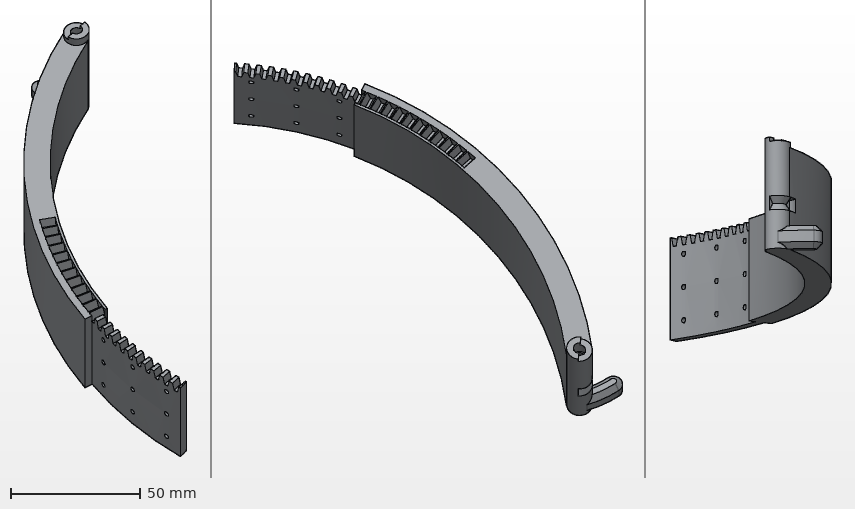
import cadquery as cq
import math

ARC_CENTER = (160.5, 137.6)
BAND_INNER_RADIUS = 139.6
BAND_THICKNESS = 10.3
BAND_OUTER_RADIUS = BAND_INNER_RADIUS + BAND_THICKNESS
BAND_MID_RADIUS = BAND_INNER_RADIUS + BAND_THICKNESS / 2
BAND_HEIGHT = 40.2
BAND_START_ANGLE = 170.93
BAND_END_ANGLE = 230.1

STRIP_INNER_RADIUS = 142.6
STRIP_THICKNESS = 4.0
STRIP_OUTER_RADIUS = STRIP_INNER_RADIUS + STRIP_THICKNESS
STRIP_CUT_INNER_RADIUS = STRIP_INNER_RADIUS - STRIP_THICKNESS
STRIP_CUT_LENGTH = 3 * STRIP_THICKNESS
STRIP_END_ANGLE = 249.9

TOOTH_PITCH_ANGLE = 1.88
TOOTH_DEPTH = 3.5
GAP_COUNT = 11
FIRST_GAP_ANGLE = 230.2
GAP_TOP_WIDTH = 3.1
GAP_FLOOR_WIDTH = 1.5
WHOLE_POCKET_COUNT = 11
LAST_WHOLE_POCKET_END_ANGLE = 229.3
POCKET_PITCH_ANGLE = 1.84
POCKET_TOP_WIDTH = 4.1
POCKET_FLOOR_WIDTH = 1.2
POCKET_INNER_WALL = 1.0
POCKET_INNER_RADIUS = BAND_INNER_RADIUS + POCKET_INNER_WALL
POCKET_RADIAL_LENGTH = 6.1

STRIP_HOLE_DIAMETER = 2.0
STRIP_HOLE_ANGLES = (233.1, 240.1, 247.2)
STRIP_HOLE_MID_HEIGHT = 20.0
STRIP_HOLE_SPACING = 13.0
STRIP_HOLE_ROWS = 3

BARREL_DIAMETER = 10.0
BARREL_HEIGHT = 44.0
BARREL_STEP = 1.7
BARREL_STEP_ANGLE = 68.0
BORE_DIAMETER = 4.6
BORE_DEPTH = 6.6
PILOT_DIAMETER = 3.5
PILOT_DEPTH = 13.2

GROOVE_MID_HEIGHT = 18.0
GROOVE_WIDTH = 5.5
GROOVE_ROOT_RADIUS = 3.1
GROOVE_OUTER_RADIUS = 7.1

HOOK_WIDTH = 7.1
HOOK_HEIGHT = 9.1
HOOK_CHAMFER = 2.3
HOOK_ARC_RADIUS = 39.7
HOOK_OFFSET = 1.2


def polar(radius, angle):
    """Point at a radius and angle in degrees about the band's arc axis."""
    turn = math.radians(angle)
    return (ARC_CENTER[0] + radius * math.cos(turn), ARC_CENTER[1] + radius * math.sin(turn))


BARREL_CENTER = polar(BAND_MID_RADIUS, BAND_START_ANGLE)


def arc_wall(inner_radius, outer_radius, start_angle, end_angle):
    """Upright curved wall as tall as the band."""
    mid_angle = (start_angle + end_angle) / 2
    return (
        cq.Workplane("XY")
        .moveTo(*polar(inner_radius, start_angle))
        .threePointArc(polar(inner_radius, mid_angle), polar(inner_radius, end_angle))
        .lineTo(*polar(outer_radius, end_angle))
        .threePointArc(polar(outer_radius, mid_angle), polar(outer_radius, start_angle))
        .close()
        .extrude(BAND_HEIGHT)
    )


def radial_plane(radius, angle, height):
    """Plane facing outward along a radius, with its local Y pointing up."""
    turn = math.radians(angle)
    return cq.Plane(
        origin=(*polar(radius, angle), height),
        xDir=(-math.sin(turn), math.cos(turn), 0),
        normal=(math.cos(turn), math.sin(turn), 0),
    )


def tapered_notch(angle, inner_radius, radial_length, top_width, floor_width):
    """Cutter that narrows from the top face down to a flat floor."""
    return (
        cq.Workplane(radial_plane(inner_radius, angle, BAND_HEIGHT))
        .polyline([
            (-top_width / 2, 0),
            (top_width / 2, 0),
            (floor_width / 2, -TOOTH_DEPTH),
            (-floor_width / 2, -TOOTH_DEPTH),
        ])
        .close()
        .extrude(radial_length)
    )


def make_band():
    band = arc_wall(BAND_INNER_RADIUS, BAND_OUTER_RADIUS, BAND_START_ANGLE, BAND_END_ANGLE)
    for index in range(WHOLE_POCKET_COUNT + 1):
        angle = LAST_WHOLE_POCKET_END_ANGLE + (0.5 - index) * POCKET_PITCH_ANGLE
        band = band.cut(tapered_notch(
            angle, POCKET_INNER_RADIUS, POCKET_RADIAL_LENGTH, POCKET_TOP_WIDTH, POCKET_FLOOR_WIDTH
        ))
    return band


def make_strip():
    strip = arc_wall(
        STRIP_INNER_RADIUS, STRIP_OUTER_RADIUS, BAND_END_ANGLE, STRIP_END_ANGLE
    )
    for index in range(GAP_COUNT):
        angle = FIRST_GAP_ANGLE + index * TOOTH_PITCH_ANGLE
        strip = strip.cut(tapered_notch(
            angle, STRIP_CUT_INNER_RADIUS, STRIP_CUT_LENGTH, GAP_TOP_WIDTH, GAP_FLOOR_WIDTH
        ))
    for angle in STRIP_HOLE_ANGLES:
        drill = (
            cq.Workplane(radial_plane(STRIP_CUT_INNER_RADIUS, angle, STRIP_HOLE_MID_HEIGHT))
            .rarray(1.7, STRIP_HOLE_SPACING, 1, STRIP_HOLE_ROWS)
            .circle(STRIP_HOLE_DIAMETER / 2)
            .extrude(STRIP_CUT_LENGTH)
        )
        strip = strip.cut(drill)
    return strip


def make_barrel():
    barrel = cq.Workplane("XY").circle(BARREL_DIAMETER / 2).extrude(BARREL_HEIGHT)
    lowered_half = (
        cq.Workplane("XY", origin=(0, 0, BARREL_HEIGHT - BARREL_STEP))
        .rect(BARREL_DIAMETER, BARREL_DIAMETER)
        .extrude(BARREL_STEP)
        .translate((-BARREL_DIAMETER / 2, 0, 0))
        .rotate((0, 0, 0), (0, 0, 1), BARREL_STEP_ANGLE - 90)
    )
    return barrel.cut(lowered_half).translate((*BARREL_CENTER, 0))


def make_bore():
    pilot = cq.Workplane("XY").circle(PILOT_DIAMETER / 2).extrude(-PILOT_DEPTH)
    bore = cq.Workplane("XY").circle(BORE_DIAMETER / 2).extrude(-BORE_DEPTH)
    return bore.union(pilot).translate((*BARREL_CENTER, BARREL_HEIGHT))


def make_groove():
    half_width = GROOVE_WIDTH / 2
    shoulder_radius = BARREL_DIAMETER / 2
    return (
        cq.Workplane("XZ")
        .polyline([
            (GROOVE_ROOT_RADIUS, 0),
            (shoulder_radius, half_width),
            (GROOVE_OUTER_RADIUS, half_width),
            (GROOVE_OUTER_RADIUS, -half_width),
            (shoulder_radius, -half_width),
        ])
        .close()
        .revolve(180, (0, 0, 0), (0, 1, 0))
        .rotate((0, 0, 0), (0, 0, 1), BARREL_STEP_ANGLE)
        .translate((*BARREL_CENTER, GROOVE_MID_HEIGHT))
    )


def make_hook():
    center_x = BARREL_CENTER[0]
    center_y = BARREL_CENTER[1] + HOOK_OFFSET - HOOK_ARC_RADIUS
    half_width = HOOK_WIDTH / 2
    tip_angle = math.acos((half_width - center_x) / HOOK_ARC_RADIUS)
    mid_angle = (tip_angle + math.pi / 2) / 2

    def hook_point(offset, angle, advance=0.0):
        radius = HOOK_ARC_RADIUS + offset
        return (
            center_x + radius * math.cos(angle) - advance * math.sin(angle),
            center_y + radius * math.sin(angle) + advance * math.cos(angle),
        )

    return (
        cq.Workplane("XY")
        .moveTo(*hook_point(half_width, math.pi / 2))
        .threePointArc(hook_point(half_width, mid_angle), hook_point(half_width, tip_angle))
        .threePointArc(hook_point(0, tip_angle, half_width), hook_point(-half_width, tip_angle))
        .threePointArc(hook_point(-half_width, mid_angle), hook_point(-half_width, math.pi / 2))
        .close()
        .extrude(HOOK_HEIGHT)
        .faces("<Z or >Z")
        .edges()
        .chamfer(HOOK_CHAMFER)
    )


result = (
    make_band()
    .union(make_strip())
    .union(make_barrel())
    .cut(make_bore())
    .cut(make_groove())
    .union(make_hook())
)